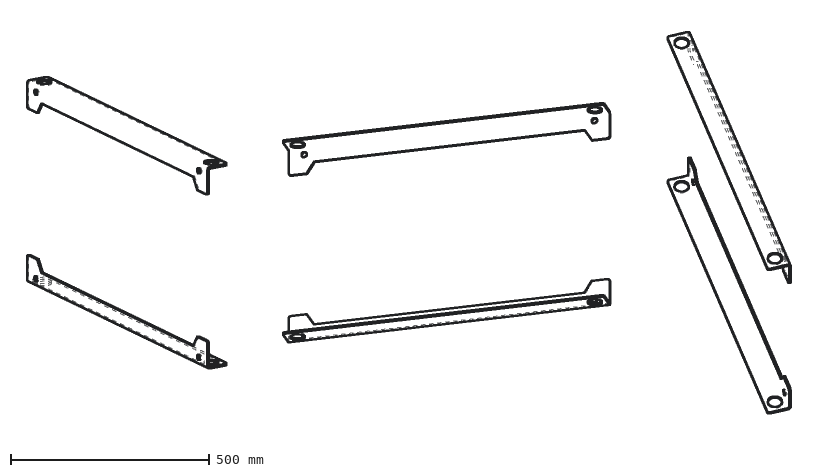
import cadquery as cq

length = 842.0
flange_depth = 61.0
overall_height = 535.0
thickness = 5.0

bend_outer_radius = 8.0
bend_inner_radius = bend_outer_radius - thickness

lug_height = 73.0
web_height = 43.0
lug_tip_width = 47.0
lug_root_width = 66.5
corner_radius = 7.0

web_hole_diameter = 14.0
web_hole_inset = 40.0
web_hole_drop = 20.0

flange_hole_diameter = 36.0
flange_hole_inset = 31.0
flange_hole_setback = 32.0


def bent_angle():
    """L-section along X: outer bend edge at Y = 0, Z = 0, web hanging down."""
    section = (
        cq.Workplane("YZ")
        .moveTo(0, -lug_height)
        .lineTo(0, 0)
        .lineTo(flange_depth, 0)
        .lineTo(flange_depth, -thickness)
        .lineTo(thickness, -thickness)
        .lineTo(thickness, -lug_height)
        .close()
        .extrude(length / 2, both=True)
    )
    outer_edge = cq.selectors.NearestToPointSelector((0, 0, 0))
    inner_edge = cq.selectors.NearestToPointSelector((0, thickness, -thickness))
    section = section.edges("|X").edges(outer_edge).fillet(bend_outer_radius)
    return section.edges("|X").edges(inner_edge).fillet(bend_inner_radius)


def web_relief():
    """Tapered cutout that leaves a lug at each end of the web."""
    tip_x = length / 2 - lug_tip_width
    root_x = length / 2 - lug_root_width
    return (
        cq.Workplane("XZ")
        .polyline([(-tip_x, -lug_height), (-root_x, -web_height), (root_x, -web_height), (tip_x, -lug_height)])
        .close()
        .extrude(-thickness)
    )


def web_holes():
    hole_x = length / 2 - web_hole_inset
    return (
        cq.Workplane("XZ")
        .pushPoints([(-hole_x, -web_hole_drop), (hole_x, -web_hole_drop)])
        .circle(web_hole_diameter / 2)
        .extrude(-thickness)
    )


def flange_holes():
    hole_x = length / 2 - flange_hole_inset
    return (
        cq.Workplane("XY")
        .pushPoints([(-hole_x, flange_hole_setback), (hole_x, flange_hole_setback)])
        .circle(flange_hole_diameter / 2)
        .extrude(-thickness)
    )


def make_rail():
    """One rail with its flange on top, level with Z = 0."""
    rail = bent_angle()
    rail = rail.faces(">Y").edges("|Z").fillet(corner_radius)
    rail = rail.faces("<Z").edges("|Y").fillet(corner_radius)
    return rail.cut(web_relief()).cut(web_holes()).cut(flange_holes())


rails = []
for is_lower in (False, True):
    rail = make_rail().translate((0, 0, overall_height / 2))
    if is_lower:
        rail = rail.mirror("XY")
    rails.append(rail.val())

result = cq.Compound.makeCompound(rails)